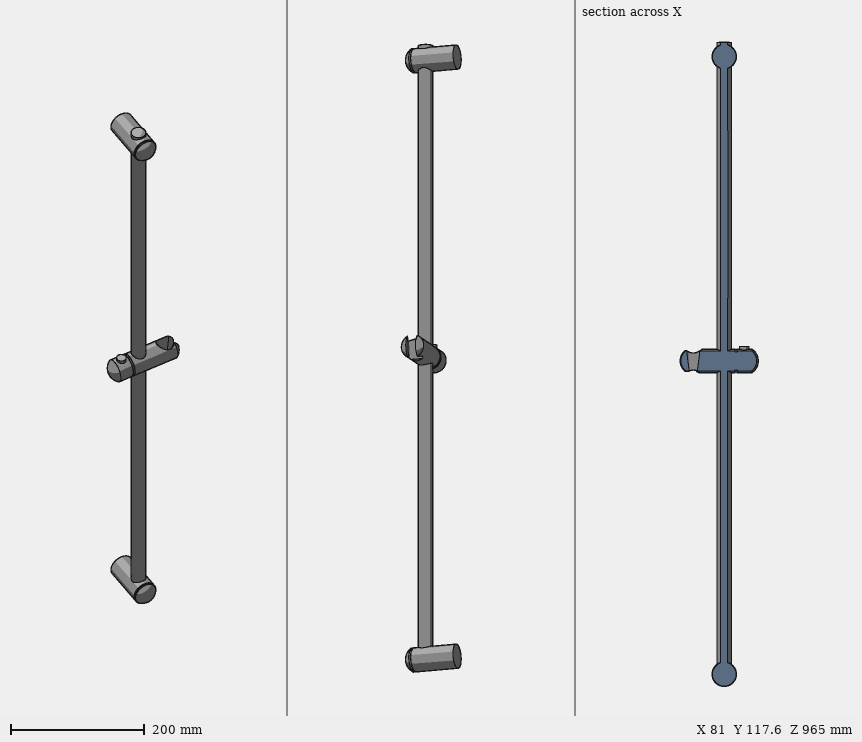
import cadquery as cq

total_height = 965.0
rail_diameter = 22.0
rail_dome = 1.0
rail_protrusion = 4.0

bracket_diameter = 37.0
bracket_radius = bracket_diameter / 2
bracket_length = 81.0
bracket_dome = 11.0
wall_offset = 50.0
bracket_groove_width = 3.0
groove_depth = 1.0
lower_bracket_z = bracket_radius
upper_bracket_z = total_height - rail_protrusion - bracket_radius

slider_diameter = 36.0
slider_radius = slider_diameter / 2
slider_z = 487.0
slider_front = 51.0
slider_back = 68.0
slider_dome = 10.0
collar_front = 16.0
knob_gap = 3.0
button_diameter = 14.0
button_height = 4.0
button_y = -30.0

fork_thickness = 32.0
shoulder_start = 38.0
shoulder_end = 41.5
seat_y = 46.0
seat_top_diameter = 27.0
seat_bottom_diameter = 22.0
mouth_width = 15.0


def domed_profile(radius, length, dome):
    """Half outline of a round bar with a spherical cap, to revolve about Y."""
    sphere_radius = (radius**2 + dome**2) / (2 * dome)
    mid_x = radius / 2
    mid_y = length - sphere_radius + (sphere_radius**2 - mid_x**2) ** 0.5
    return (
        cq.Workplane("XY")
        .lineTo(radius, 0)
        .lineTo(radius, length - dome)
        .threePointArc((mid_x, mid_y), (0, length))
        .close()
    )


def domed_bar(radius, length, dome):
    """Round bar from the origin along +Y, capped at its far end."""
    return domed_profile(radius, length, dome).revolve(360, (0, 0, 0), (0, 1, 0))


def groove(radius, start, width):
    """Shallow ring around a bar along Y, beginning at the given Y."""
    return (
        cq.Workplane("XZ", origin=(0, start, 0))
        .circle(radius + groove_depth)
        .circle(radius - groove_depth)
        .extrude(-width)
    )


def bracket(z):
    groove_start = bracket_length - bracket_dome - bracket_groove_width
    body = domed_bar(bracket_radius, bracket_length, bracket_dome)
    body = body.cut(groove(bracket_radius, groove_start, bracket_groove_width))
    return body.rotate((0, 0, 0), (0, 0, 1), -90).translate((-wall_offset, 0, z))


def fork_relief():
    """Material above the fork flat, with a sloped shoulder at the body."""
    return (
        cq.Workplane("YZ", origin=(-slider_diameter, 0, 0))
        .moveTo(shoulder_start, slider_radius)
        .lineTo(shoulder_end, fork_thickness / 2)
        .lineTo(slider_back, fork_thickness / 2)
        .lineTo(slider_back, slider_radius)
        .close()
        .extrude(2 * slider_diameter)
    )


def hose_seat():
    """Tapered upright hole with a narrower mouth open to the fork tip."""
    taper_hole = (
        cq.Workplane("XY", origin=(0, seat_y, -fork_thickness / 2))
        .circle(seat_bottom_diameter / 2)
        .workplane(offset=fork_thickness)
        .circle(seat_top_diameter / 2)
        .loft()
    )
    upper_hole = (
        cq.Workplane("XY", origin=(0, seat_y, fork_thickness / 2))
        .circle(seat_top_diameter / 2)
        .extrude(slider_radius)
    )
    mouth = (
        cq.Workplane("XY", origin=(0, seat_y, 0))
        .box(mouth_width, slider_back, slider_diameter, centered=(True, False, True))
    )
    return taper_hole.union(upper_hole).union(mouth)


def slider():
    back = domed_bar(slider_radius, slider_back, slider_dome)
    front = domed_bar(slider_radius, slider_front, slider_dome).rotate((0, 0, 0), (0, 0, 1), 180)
    relief = fork_relief()
    body = (
        back.union(front)
        .cut(relief)
        .cut(relief.mirror("XY"))
        .cut(hose_seat())
        .cut(groove(slider_radius, -collar_front - knob_gap, knob_gap))
    )
    button = (
        cq.Workplane("XY", origin=(0, button_y, 0))
        .circle(button_diameter / 2)
        .extrude(slider_radius + button_height)
    )
    return body.union(button).translate((0, 0, slider_z))


rail = (
    domed_bar(rail_diameter / 2, total_height - lower_bracket_z, rail_dome)
    .rotate((0, 0, 0), (1, 0, 0), 90)
    .translate((0, 0, lower_bracket_z))
)
result = rail.union(slider())
for bracket_z in (lower_bracket_z, upper_bracket_z):
    result = result.union(bracket(bracket_z))